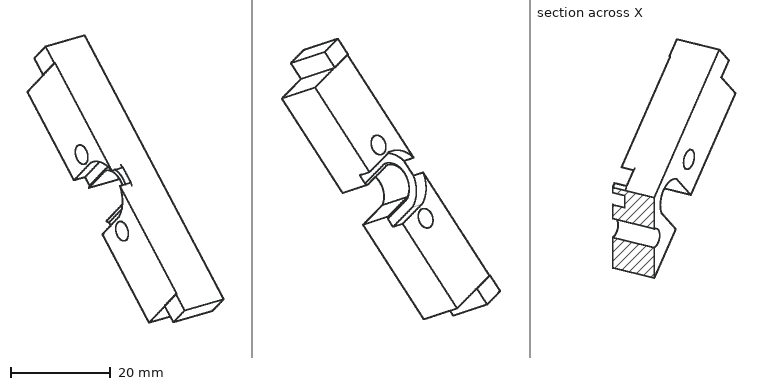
import cadquery as cq
import math

outer_side = 49.85
tilt_angle = 45.0

body_height = 12.35
body_thickness = 9.95
tab_length = 3.9
tab_height = 5.05
tab_thickness = 10.15
total_length = outer_side * math.sqrt(2) - (body_height - tab_length)
body_length = total_length - 2 * tab_length

center_below_top = 6.25
slot_radius = 4.1
slot_half_width = 3.9
recess_radius = 6.5
recess_half_width = 6.35
recess_depth = 2.9

lip_size = 0.45
lip_slope = 45.0

hole_diameter = 4.0
hole_spacing = 18.0

back = body_thickness
mouth_clearance = 2.5


def plane_at(y):
    """Workplane with local axes X and Z whose extrusions run toward -Y."""
    return cq.Workplane("XZ", origin=(0, y, 0))


def slot_outline(y, radius, half_width):
    """Slot with a round end slightly wider than its straight, parallel legs."""
    shoulder = math.sqrt(radius**2 - half_width**2) - center_below_top
    mouth = -body_height - mouth_clearance
    return (
        plane_at(y)
        .moveTo(-half_width, mouth)
        .lineTo(-half_width, shoulder)
        .threePointArc((0, radius - center_below_top), (half_width, shoulder))
        .lineTo(half_width, mouth)
        .close()
    )


def make_blank():
    body = (
        plane_at(back)
        .center(0, -body_height / 2)
        .rect(body_length, body_height)
        .extrude(body_thickness)
    )
    tab_center = (body_length + tab_length) / 2
    for side in (-1, 1):
        tab = (
            plane_at(back)
            .center(side * tab_center, -tab_height / 2)
            .rect(tab_length, tab_height)
            .extrude(tab_thickness)
        )
        body = body.union(tab)
    return body


def make_recess():
    """Recess cutter, hollowed where the sloping lip stays standing."""
    cutter = slot_outline(recess_depth, recess_radius, recess_half_width).extrude(recess_depth)
    lip = slot_outline(
        recess_depth, slot_radius + lip_size, slot_half_width + lip_size
    ).extrude(lip_size, taper=lip_slope)
    return cutter.cut(lip)


def make_holes():
    return (
        plane_at(back)
        .pushPoints([(side * hole_spacing / 2, -center_below_top) for side in (-1, 1)])
        .circle(hole_diameter / 2)
        .extrude(body_thickness)
    )


slot = slot_outline(back, slot_radius, slot_half_width).extrude(body_thickness)
part = make_blank().cut(make_recess()).cut(slot).cut(make_holes())

result = part.rotate((0, 0, 0), (0, 1, 0), tilt_angle)